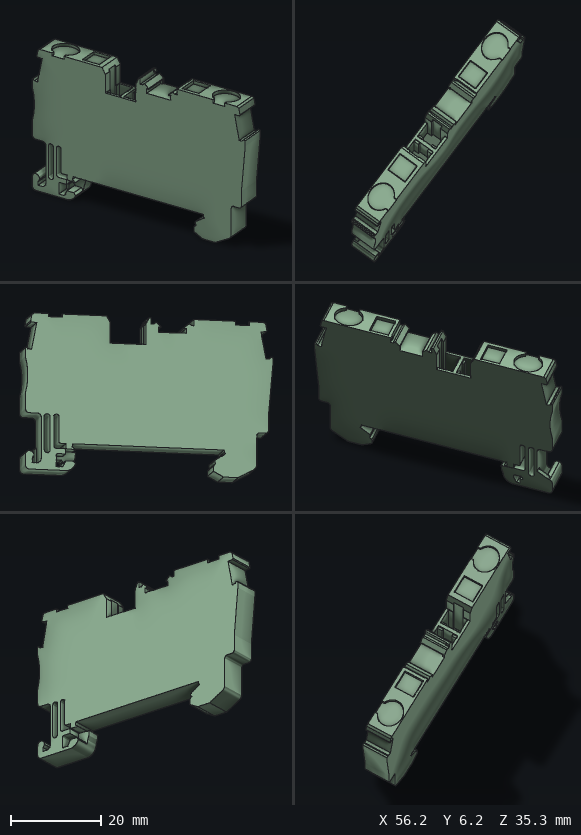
import cadquery as cq

LENGTH = 56.2
WIDTH = 6.2
HEIGHT = 35.3
MID_WIDTH = WIDTH / 2

SHOULDER_Z = 12.7
RAIL_Z = 6.1
LIP_Z = 27.4
END_INSET = 0.17
CORNER_RADIUS = 0.9
GRIP_BOTTOM, GRIP_TOP, GRIP_DEPTH = 17.2, 25.3, 0.55
RIGHT_STEP_X, RIGHT_STEP_Z = 55.22, 10.3
RIGHT_TAPER_BOTTOM, RIGHT_TAPER_TOP = 14.6, 25.9
RIGHT_LEG_X = 52.52
RIGHT_FILLET = 0.7

SLOT_LEFT, SLOT_RIGHT, SLOT_FLOOR = 19.3, 27.32, 29.2
SLOT_CHAMFER_X, SLOT_CHAMFER_Z = 0.85, 1.5
WALL_TIP_X, WALL_SHOULDER_Z = 28.1, 33.7
BRIDGE_POCKETS = ((19.4, 22.9), (23.75, SLOT_RIGHT))
BRIDGE_POCKET_Y = (0.67, 5.55)
BRIDGE_POCKET_DEPTH = 10
LEDGE_X, LEDGE_Y, LEDGE_DROP = 0.5, 1.2, 0.6
GROOVE_Y = (1.88, 4.37)
GROOVE_LEFT, GROOVE_RIGHT = 19.05, 27.8

WINDOW_LEFT, WINDOW_RIGHT, WINDOW_FLOOR = 30.72, 36.03, 32.1
WINDOW_WALL_TOP, TOOTH_PEAK_Z, GROOVE_Z = 33.4, 34.35, 33.9
TOOTH_PEAK_INSET, CATCH_VALLEY_INSET, CATCH_WALL_INSET = 1.05, 1.6, 2.2
CATCH_LIP, CATCH_LIP_Z, CATCH_LIP_WIDTH = 0.4, 34.7, 0.8
UNDERCUT_LENGTH, UNDERCUT_HEIGHT, UNDERCUT_END_WALL = 0.5, 1.1, 0.5

SCREW_CENTERS = (6.84, 49.25)
PROBE_STARTS = (12.7, 38.97)
TOP_POCKET_DEPTHS = (0.7, 0.85)
SCREW_RADIUS_X, SCREW_RADIUS_Y, SCREW_CENTER_Y = 3.24, 2.77, 3.13
SCREW_NOTCH_WIDTH = 3.1
PROBE_LENGTH, PROBE_Y = 4.47, (0.87, 5.55)

RAIL_EDGE_Z = 5.4
TOOTH_NECK_X, TOOTH_TIP_X = 10.6, 11.4
CLAW_TIP_X, CLAW_NECK_X = 42.66, 45.4
CLAW_BASE_START, CLAW_BASE_END = 44.94, 48.26

LEG_X = 3.6
SLIT_LEFT, SLIT_RIGHT, SLIT_BOTTOM, SLIT_TOP = 4.27, 5.6, 3.88, 12.63
GAP_LEFT, GAP_RIGHT, GAP_END = 6.45, 7.64, 9.2
ROUND_END = 0.49
FOOT_TOP = 4.92
FOOT_TOP_END = GAP_END - 0.1
FOOT_BASE_END = 9.4
JAW_TIP_X, JAW_TOP = 12.1, 4.75
JAW_RECESS_Z = 3.74
JAW_CLEARANCE = 0.06
FOOT_FILLET = 0.95
GAP_FILLET = 0.58
RAIL_CORNER_FILLET = 0.3
HOOK_SHOULDER_Z, HOOK_TOP_Z = 3.2, 4.2
WEB_TOP_Z = 5.8
WEB_END_X, WEB_END_Z = 0.165, 3.78
WEB_THICKNESS, WEB_CHAMFER = 1.0, 0.5
HOOK_INNER_X, HOOK_FLOOR = 1.55, 1.5
JAW_LEFT = 7.05
TOE_TOP = 2.2
JAW_OPENING_RIGHT = 9.17
JAW_OPENING_TOP, JAW_OPENING_BOTTOM = 2.9, 0.83
JAW_LEDGE_END, JAW_LEDGE_TOP = 7.67, 2.07


def plate(sketch, y_start=0.0, y_end=WIDTH):
    """Extrude a closed XZ outline between two Y positions."""
    return sketch.close().extrude(y_end - y_start).rotate((0, 0, 0), (1, 0, 0), 90).translate((0, y_end, 0))


def outline(*points):
    """Closed straight-sided outline, drawn flat with Z along the second coordinate."""
    return cq.Workplane("XY").polyline(points)


def box(x_range, y_range, z_range):
    size = [end - start for start, end in (x_range, y_range, z_range)]
    return cq.Workplane("XY").box(*size, centered=False).translate((x_range[0], y_range[0], z_range[0]))


def fillet_at(body, points, radius):
    """Round the edges along Y that pass through the given XZ points."""
    reach = 0.05
    for x, z in points:
        near = cq.selectors.BoxSelector((x - reach, -1, z - reach), (x + reach, WIDTH + 1, z + reach))
        body = body.edges(near).fillet(radius)
    return body


def end_profile():
    """Points up one end of the housing as (distance in from the end, Z)."""
    return [
        (0, LIP_Z),
        (0.27, LIP_Z + 0.15),
        (0.6, LIP_Z - 0.25),
        (1.4, LIP_Z - 0.35),
        (2.58, 33.1),
        (1.35, 33.2),
        (1.18, 33.45),
        (1.5, HEIGHT - 0.3),
        (2.05, HEIGHT),
    ]


def make_housing():
    left_end = end_profile()
    right_end = [(LENGTH - END_INSET - inset, z) for inset, z in reversed(end_profile()[1:])]
    body = plate(
        cq.Workplane("XY")
        .moveTo(0, SHOULDER_Z)
        .lineTo(0, GRIP_BOTTOM)
        .threePointArc((GRIP_DEPTH, (GRIP_BOTTOM + GRIP_TOP) / 2), (0, GRIP_TOP))
        .polyline(left_end + right_end, includeCurrent=True)
        .lineTo(LENGTH, LIP_Z)
        .lineTo(LENGTH, RIGHT_TAPER_TOP)
        .lineTo(RIGHT_STEP_X, RIGHT_TAPER_BOTTOM)
        .lineTo(RIGHT_STEP_X, RIGHT_STEP_Z)
        .lineTo(RIGHT_LEG_X, RIGHT_STEP_Z)
        .lineTo(RIGHT_LEG_X, RAIL_Z)
        .lineTo(GAP_RIGHT, RAIL_Z)
        .lineTo(GAP_RIGHT, SHOULDER_Z)
    )
    body = fillet_at(body, [(0, SHOULDER_Z)], CORNER_RADIUS)
    body = fillet_at(body, [(GAP_RIGHT, RAIL_Z)], RAIL_CORNER_FILLET)
    return fillet_at(body, [(RIGHT_STEP_X, RIGHT_STEP_Z), (RIGHT_LEG_X, RIGHT_STEP_Z)], RIGHT_FILLET)


def make_rail_tooth():
    """Tooth below the housing that hooks over the left rail edge."""
    return plate(outline(
        (GAP_END, RAIL_Z),
        (GAP_END, FOOT_TOP),
        (TOOTH_TIP_X, JAW_TOP + JAW_CLEARANCE),
        (TOOTH_NECK_X, RAIL_EDGE_Z),
        (TOOTH_NECK_X + 0.2, RAIL_Z),
    ))


def make_rail_claw():
    """Fixed claw that grips the right rail edge."""
    return plate(
        cq.Workplane("XY")
        .moveTo(CLAW_NECK_X - 0.3, RAIL_Z)
        .lineTo(CLAW_NECK_X - 0.25, RAIL_EDGE_Z + 0.2)
        .lineTo(CLAW_NECK_X, RAIL_EDGE_Z - 0.1)
        .lineTo(43.05, 3.8)
        .threePointArc((42.97, 3.4), (43.18, 3.0))
        .lineTo(CLAW_TIP_X, 2.36)
        .lineTo(CLAW_TIP_X, 1.2)
        .lineTo(CLAW_BASE_START, 0)
        .lineTo(CLAW_BASE_END, 0)
        .lineTo(51.7, 1.85)
        .threePointArc((52.22, 2.25), (RIGHT_LEG_X, 2.85))
        .lineTo(RIGHT_LEG_X, RAIL_Z)
    )


def make_foot():
    """Flexible leg with a release hook on its left and a jaw on its right."""
    foot = plate(
        cq.Workplane("XY")
        .moveTo(0, 0)
        .lineTo(FOOT_BASE_END, 0)
        .threePointArc((11.0, 0.85), (11.65, 2.5))
        .lineTo(12.0, 3.55)
        .lineTo(JAW_TIP_X, JAW_TOP)
        .lineTo(GAP_END, FOOT_TOP - JAW_CLEARANCE)
        .lineTo(FOOT_TOP_END, FOOT_TOP)
        .lineTo(GAP_LEFT, FOOT_TOP)
        .lineTo(GAP_LEFT, SHOULDER_Z)
        .lineTo(LEG_X, SHOULDER_Z)
        .lineTo(LEG_X, 2.6)
        .threePointArc((3.3, 1.85), (2.7, HOOK_FLOOR))
        .lineTo(HOOK_INNER_X, HOOK_FLOOR)
        .lineTo(HOOK_INNER_X + 0.05, 2.4)
        .lineTo(1.95, 3.1)
        .threePointArc((1.65, 3.9), (0.6, HOOK_TOP_Z))
        .threePointArc((WEB_END_X, WEB_END_Z), (0, HOOK_SHOULDER_Z))
    )
    foot = fillet_at(foot, [(0, 0)], FOOT_FILLET)
    foot = fillet_at(foot, [(GAP_LEFT, FOOT_TOP)], GAP_FILLET)
    foot = foot.union(make_hook_web())
    foot = foot.cut(make_jaw_recess())
    return foot.cut(make_jaw_opening())


def make_hook_web():
    """Thin wall on the +Y side joining the hook to the leg, thickened where it meets the leg."""
    web_front = WIDTH - WEB_THICKNESS
    web = plate(
        outline(
            (WEB_END_X, WEB_END_Z),
            (LEG_X, WEB_TOP_Z),
            (LEG_X, HOOK_FLOOR),
            (HOOK_INNER_X, HOOK_FLOOR),
        ),
        web_front,
    )
    wedge = (
        cq.Workplane("XY")
        .workplane(offset=HOOK_FLOOR)
        .polyline([
            (LEG_X - WEB_CHAMFER, web_front),
            (LEG_X, web_front),
            (LEG_X, web_front - WEB_CHAMFER),
        ])
        .close()
        .extrude(WEB_TOP_Z - WEB_CHAMFER / 2 - HOOK_FLOOR)
    )
    return web.union(wedge)


def make_jaw_recess():
    """Space that sets the jaw back to the +Y half of the foot, above the toe."""
    past_jaw = JAW_TIP_X + 1
    toe_end_z = 1.5
    return plate(
        cq.Workplane("XY")
        .moveTo(FOOT_TOP_END, FOOT_TOP)
        .lineTo(FOOT_TOP_END, JAW_RECESS_Z)
        .lineTo(7.5, JAW_RECESS_Z)
        .threePointArc((7.1, 3.58), (JAW_LEFT, 3.2))
        .lineTo(JAW_LEFT, TOE_TOP)
        .lineTo(11.0, TOE_TOP)
        .lineTo(11.5, toe_end_z)
        .lineTo(past_jaw, toe_end_z)
        .lineTo(past_jaw, FOOT_TOP),
        0,
        MID_WIDTH,
    )


def make_jaw_opening():
    """Through opening under the jaw, keeping a low ledge in its +Y half."""
    corner = 0.35
    opening = plate(outline(
        (JAW_LEFT, JAW_OPENING_BOTTOM),
        (8.4, JAW_OPENING_BOTTOM),
        (8.65, 1.1),
        (JAW_OPENING_RIGHT, TOE_TOP),
        (JAW_OPENING_RIGHT, JAW_OPENING_TOP - corner),
        (JAW_OPENING_RIGHT - corner, JAW_OPENING_TOP),
        (JAW_LEFT + corner, JAW_OPENING_TOP),
        (JAW_LEFT, JAW_OPENING_TOP - corner),
    ))
    ledge = box((JAW_LEFT, JAW_LEDGE_END), (MID_WIDTH, WIDTH), (JAW_OPENING_BOTTOM, JAW_LEDGE_TOP))
    return opening.cut(ledge)


def make_leg_slits():
    """Slit inside the leg, and the rounded top of the gap between leg and housing."""
    slit_width = SLIT_RIGHT - SLIT_LEFT
    slit = box((SLIT_LEFT, SLIT_RIGHT), (0, WIDTH), (SLIT_BOTTOM, SLIT_TOP))
    slit = slit.edges("|Y").fillet(ROUND_END * slit_width)
    gap = box((GAP_LEFT, GAP_RIGHT), (0, WIDTH), (FOOT_TOP, SLIT_TOP))
    gap = gap.edges("|Y and (<X or >Z)").fillet(GAP_FILLET)
    return slit.union(gap)


def make_bridge_slot():
    """Slot for a bridge, with a chamfered left side and a tapered right wall."""
    return plate(outline(
        (SLOT_LEFT - SLOT_CHAMFER_X, HEIGHT),
        (SLOT_LEFT, HEIGHT - SLOT_CHAMFER_Z),
        (SLOT_LEFT, SLOT_FLOOR),
        (SLOT_RIGHT, SLOT_FLOOR),
        (SLOT_RIGHT, WALL_SHOULDER_Z),
        (WALL_TIP_X, HEIGHT),
    ))


def make_bridge_pockets():
    """Two pockets in the slot floor, with corner ledges beside the rib between them."""
    pocket_bottom = SLOT_FLOOR - BRIDGE_POCKET_DEPTH
    ledge_z = (pocket_bottom, SLOT_FLOOR - LEDGE_DROP)
    y_start, y_end = BRIDGE_POCKET_Y
    (first_start, first_end), (second_start, second_end) = BRIDGE_POCKETS
    pockets = box((first_start, first_end), BRIDGE_POCKET_Y, (pocket_bottom, SLOT_FLOOR))
    pockets = pockets.union(box((second_start, second_end), BRIDGE_POCKET_Y, (pocket_bottom, SLOT_FLOOR)))
    for ledge_x in ((first_end - LEDGE_X, first_end), (second_start, second_start + LEDGE_X)):
        for ledge_y in ((y_start, y_start + LEDGE_Y), (y_end - LEDGE_Y, y_end)):
            pockets = pockets.cut(box(ledge_x, ledge_y, ledge_z))
    for groove_x in ((GROOVE_LEFT, first_start), (second_end, GROOVE_RIGHT)):
        pockets = pockets.union(box(groove_x, GROOVE_Y, (pocket_bottom, HEIGHT)))
    return pockets


def make_marker_window():
    """Window with mirrored catch grooves, short lips and a floor undercut that stops short of +Y."""
    side = [
        (0, WINDOW_FLOOR),
        (0, WINDOW_WALL_TOP),
        (TOOTH_PEAK_INSET, TOOTH_PEAK_Z),
        (CATCH_VALLEY_INSET, GROOVE_Z),
        (CATCH_WALL_INSET, GROOVE_Z),
        (CATCH_WALL_INSET, HEIGHT),
    ]
    lip = [
        (CATCH_WALL_INSET, CATCH_LIP_Z),
        (CATCH_WALL_INSET - CATCH_LIP, CATCH_LIP_Z),
        (CATCH_WALL_INSET - CATCH_LIP / 4, HEIGHT),
        (CATCH_WALL_INSET, HEIGHT),
    ]

    def on_left(points):
        return [(WINDOW_LEFT - inset, z) for inset, z in points]

    def on_right(points):
        return [(WINDOW_RIGHT + inset, z) for inset, z in points]

    window = plate(outline(*on_left(side), *reversed(on_right(side))))
    for lip_points in (on_left(lip), on_right(lip)):
        window = window.cut(plate(outline(*lip_points), WIDTH - CATCH_LIP_WIDTH))
    undercut_z = (WINDOW_FLOOR, WINDOW_FLOOR + UNDERCUT_HEIGHT)
    undercut_x = (WINDOW_LEFT - UNDERCUT_LENGTH, WINDOW_RIGHT + UNDERCUT_LENGTH)
    return window.union(box(undercut_x, (0, WIDTH - UNDERCUT_END_WALL), undercut_z))


def make_screw_opening(center_x, depth):
    """Shallow elliptical recess with a notch out to the -Y face."""
    floor_z = HEIGHT - depth
    recess = (
        cq.Workplane("XY")
        .workplane(offset=floor_z)
        .center(center_x, SCREW_CENTER_Y)
        .ellipse(SCREW_RADIUS_X, SCREW_RADIUS_Y)
        .extrude(depth)
    )
    half_notch = SCREW_NOTCH_WIDTH / 2
    notch_x = (center_x - half_notch, center_x + half_notch)
    return recess.union(box(notch_x, (0, SCREW_CENTER_Y), (floor_z, HEIGHT)))


def make_probe_opening(start_x, depth):
    """Shallow rectangular recess."""
    return box((start_x, start_x + PROBE_LENGTH), PROBE_Y, (HEIGHT - depth, HEIGHT))


block = make_housing().union(make_rail_tooth()).union(make_rail_claw())

leg_root = box((LEG_X, GAP_RIGHT), (0, WIDTH), (SHOULDER_Z - 1, SHOULDER_Z + 1))
block = block.union(leg_root).union(make_foot()).clean()
block = fillet_at(block, [(LEG_X, SHOULDER_Z)], CORNER_RADIUS)

block = block.cut(make_leg_slits())
block = block.cut(make_bridge_slot())
block = block.cut(make_bridge_pockets())
block = block.cut(make_marker_window())
for screw_x, probe_x, pocket_depth in zip(SCREW_CENTERS, PROBE_STARTS, TOP_POCKET_DEPTHS):
    block = block.cut(make_screw_opening(screw_x, pocket_depth))
    block = block.cut(make_probe_opening(probe_x, pocket_depth))

result = block